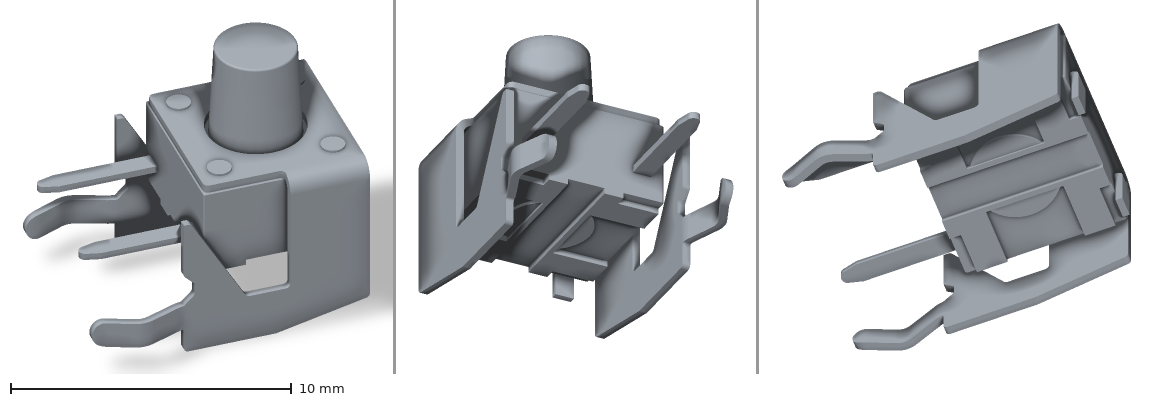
import cadquery as cq
import math


sheet = 0.3
cover_half = 6.03 / 2
cover_top = 3.72
cover_bottom = cover_top - sheet
cover_corner_radius = 0.22
relief_radius = 0.21
button_hole_radius = 1.85
bend_outer_radius = 0.64
bend_inner_radius = bend_outer_radius - sheet
bend_z = cover_top - bend_outer_radius
wall_outer_x = cover_half + bend_outer_radius
wall_mid_x = wall_outer_x - sheet / 2

wall_bottom = -2.83
slope_start_z = -2.06
slope_end_y = -0.53
wall_front_y = -4.03
window_rear_y = 0.0
window_floor_z = -0.97
window_front_y = -1.65
ear_top_z = 2.68
ear_rear_y = -3.76
notch_y = -3.61
notch_top_z = 0.47
notch_upper_z = 0.05
notch_lower_z = -0.41
wall_corner_radius = 0.17

finger_width = 1.02
finger_z = -1.33
finger_top = finger_z + finger_width / 2
finger_bottom = finger_z - finger_width / 2
finger_start_y = -3.94
finger_end_y = -7.5
finger_out_angle = math.radians(20.4)
finger_back_angle = math.radians(22.5)
finger_bend_radius = 1.07
finger_peak_radius = 0.84
finger_root_radius = 0.09
finger_reach = 8.37 / 2

housing_half = 6.17 / 2
housing_half_depth = 6.15 / 2
housing_height = cover_bottom
housing_edge_chamfer = 0.05
housing_rim_chamfer = 0.03
rivet_spacing = 4.3
rivet_radius = 0.45
rivet_height = 0.08
base_relief = 0.22
base_tongue_half = 1.48
base_groove_width = 1.46
corner_recess_depth = 0.44
side_pocket_depth = 2.15
boss_radius = 1.65
boss_height = 0.12

button_top = 7.14
button_base_radius = 1.7
button_top_radius = 1.5
button_edge_fillet = 0.09

pin_spacing = 4.4
pin_width = 0.73
pin_thickness = 0.26
pin_top = 1.41
pin_rear_y = 3.38
pin_bend_radius = pin_thickness
tab_bottom = -0.59
tip_taper_y = -6.76
tip_round_y = -7.26
tip_round_half_width = 0.24
tip_end_y = -7.47


def box(x_range, y_range, z_range):
    """Axis-aligned box between the given limits."""
    size = [high - low for low, high in (x_range, y_range, z_range)]
    corner = cq.Vector(x_range[0], y_range[0], z_range[0])
    return cq.Workplane(cq.Solid.makeBox(*size, corner))


def rivet_posts(top):
    """Four posts that rise from the housing through the cover."""
    return (
        cq.Workplane("XY").workplane(offset=cover_bottom)
        .rect(rivet_spacing, rivet_spacing, forConstruction=True).vertices()
        .circle(rivet_radius).extrude(top - cover_bottom)
    )


def top_plate():
    plate = box((-cover_half, cover_half), (-cover_half, cover_half), (cover_bottom, cover_top))
    plate = plate.edges("|Z and <Y").fillet(cover_corner_radius)
    hole = cq.Workplane("XY").workplane(offset=cover_bottom).circle(button_hole_radius).extrude(sheet)
    return plate.cut(hole)


def bend(front_y):
    """Quarter-round bend at +X, from front_y to the rear edge of the cover."""
    ring = (
        cq.Workplane("XZ", origin=(cover_half, cover_half, bend_z))
        .circle(bend_outer_radius).circle(bend_inner_radius).extrude(cover_half - front_y)
    )
    quarter = box((cover_half, wall_outer_x), (front_y, cover_half), (bend_z, cover_top))
    return ring.intersect(quarter)


def relief_fillet():
    """Concave corner web between the top plate's side edge and the front edge of the bend."""
    web = box((cover_half, cover_half + relief_radius), (-relief_radius, 0), (bend_z, cover_top))
    round_cut = (
        cq.Workplane("XY", origin=(cover_half + relief_radius, -relief_radius, bend_z))
        .circle(relief_radius).extrude(bend_outer_radius)
    )
    return web.cut(round_cut).intersect(bend(-relief_radius))


def wall_sheet():
    """Vertical sheet at +X: flat above the notch, bowed outward towards the finger below it."""
    inner_x = wall_outer_x - sheet
    flat = box((inner_x, wall_outer_x), (wall_front_y, cover_half), (notch_upper_z, bend_z))
    out, back = finger_out_angle, finger_back_angle
    first_bend_x = finger_bend_radius * (1 - math.cos(out))
    first_bend_y = -finger_bend_radius * math.sin(out)
    peak_rise = finger_peak_radius * (1 - math.cos(out))
    out_run_x = finger_reach - wall_outer_x - first_bend_x - peak_rise
    peak_x = finger_peak_radius * (math.cos(back) - math.cos(out))
    peak_y = -finger_peak_radius * (math.sin(out) + math.sin(back))
    last_bend_x = -finger_bend_radius * (1 - math.cos(back))
    last_bend_y = -finger_bend_radius * math.sin(back)
    back_run_x = -(first_bend_x + out_run_x + peak_x + last_bend_x)
    path = (
        cq.Workplane("XY").moveTo(wall_mid_x, cover_half)
        .lineTo(wall_mid_x, finger_start_y)
        .tangentArcPoint((first_bend_x, first_bend_y))
        .line(out_run_x, -out_run_x / math.tan(out))
        .tangentArcPoint((peak_x, peak_y))
        .line(back_run_x, back_run_x / math.tan(back))
        .tangentArcPoint((last_bend_x, last_bend_y))
        .lineTo(wall_mid_x, finger_end_y)
    )
    height = notch_upper_z - wall_bottom
    middle_z = (notch_upper_z + wall_bottom) / 2
    section = cq.Workplane("XZ", origin=(wall_mid_x, cover_half, middle_z)).rect(sheet, height)
    return section.sweep(path).union(flat)


def wall_outline():
    """Side profile of wall, ear and finger, as a prism along X."""
    finger_tip_y = finger_end_y + finger_width / 2
    prism_depth = finger_reach + sheet
    outline = (
        cq.Workplane("YZ")
        .moveTo(cover_half, bend_z)
        .lineTo(cover_half, slope_start_z)
        .lineTo(slope_end_y, wall_bottom)
        .lineTo(wall_front_y, wall_bottom)
        .lineTo(wall_front_y, finger_bottom)
        .lineTo(finger_tip_y, finger_bottom)
        .threePointArc((finger_end_y, finger_z), (finger_tip_y, finger_top))
        .lineTo(wall_front_y, finger_top)
        .lineTo(notch_y, notch_lower_z)
        .lineTo(notch_y, notch_upper_z)
        .lineTo(wall_front_y, notch_top_z)
        .lineTo(wall_front_y, ear_top_z)
        .lineTo(ear_rear_y, ear_top_z)
        .lineTo(window_front_y, window_floor_z)
        .lineTo(window_rear_y, window_floor_z)
        .lineTo(window_rear_y, bend_z)
        .close().extrude(prism_depth)
    )
    rounded_corners = {
        (cover_half, slope_start_z): wall_corner_radius,
        (wall_front_y, wall_bottom): wall_corner_radius,
        (wall_front_y, finger_bottom): finger_root_radius,
        (notch_y, notch_lower_z): wall_corner_radius,
        (notch_y, notch_upper_z): wall_corner_radius,
        (wall_front_y, notch_top_z): wall_corner_radius,
        (ear_rear_y, ear_top_z): wall_corner_radius,
        (window_front_y, window_floor_z): wall_corner_radius,
        (window_rear_y, window_floor_z): wall_corner_radius,
    }
    for (y, z), radius in rounded_corners.items():
        corner = cq.selectors.NearestToPointSelector((prism_depth / 2, y, z))
        outline = outline.edges("|X").edges(corner).fillet(radius)
    return outline


def make_cover():
    side = wall_sheet().intersect(wall_outline()).union(bend(window_rear_y)).union(relief_fillet())
    cover = top_plate().union(side).union(side.mirror("YZ"))
    return cover.cut(rivet_posts(cover_top))


def make_pin(center_x):
    """Flat pin that runs through the housing and bends down behind it."""
    pin_bottom = pin_top - pin_thickness
    half_width = pin_width / 2
    profile = (
        cq.Workplane("YZ", origin=(center_x - half_width, 0, 0))
        .moveTo(tip_end_y, pin_top)
        .lineTo(pin_rear_y - pin_bend_radius, pin_top)
        .radiusArc((pin_rear_y, pin_top - pin_bend_radius), pin_bend_radius)
        .lineTo(pin_rear_y, tab_bottom)
        .lineTo(pin_rear_y - pin_thickness, tab_bottom)
        .lineTo(pin_rear_y - pin_thickness, pin_bottom)
        .lineTo(tip_end_y, pin_bottom)
        .close().extrude(pin_width)
    )
    plan = (
        cq.Workplane("XY", origin=(center_x, 0, tab_bottom))
        .moveTo(half_width, pin_rear_y)
        .lineTo(half_width, tip_taper_y)
        .lineTo(tip_round_half_width, tip_round_y)
        .threePointArc((0, tip_end_y), (-tip_round_half_width, tip_round_y))
        .lineTo(-half_width, tip_taper_y)
        .lineTo(-half_width, pin_rear_y)
        .close().extrude(pin_top - tab_bottom)
    )
    return profile.intersect(plan)


def button():
    cone = (
        cq.Workplane("XZ")
        .moveTo(0, cover_bottom)
        .lineTo(button_base_radius, cover_bottom)
        .lineTo(button_top_radius, button_top)
        .lineTo(0, button_top)
        .close().revolve(360, (0, 0, 0), (0, 1, 0))
    )
    return cone.faces(">Z").edges().fillet(button_edge_fillet)


def base_recesses():
    """Recesses in the underside: a groove along Y, four corner steps and two side pockets."""
    depth = (0, base_relief)
    groove_half = base_groove_width / 2
    groove = box((-groove_half, groove_half), (-housing_half_depth, housing_half_depth), depth)
    corner_y = (housing_half_depth - corner_recess_depth, housing_half_depth)
    corner = box((base_tongue_half, housing_half), corner_y, depth)
    pocket = box(
        (housing_half - side_pocket_depth, housing_half), (-base_tongue_half, base_tongue_half), depth
    )
    boss = (
        cq.Workplane("XY").workplane(offset=base_relief - boss_height)
        .circle(boss_radius).extrude(boss_height)
    )
    side = corner.union(corner.mirror("XZ")).union(pocket.cut(boss))
    return groove.union(side).union(side.mirror("YZ"))


def make_housing(cover, pins):
    """Moulded block with rivet posts and button, slotted where the pins pass through."""
    block = box(
        (-housing_half, housing_half), (-housing_half_depth, housing_half_depth), (0, housing_height)
    )
    block = block.edges("|Z").chamfer(housing_edge_chamfer)
    block = block.faces(">Z").chamfer(housing_rim_chamfer)
    housing = block.cut(base_recesses()).union(rivet_posts(cover_top + rivet_height)).union(button())
    for pin in pins:
        housing = housing.cut(pin)
    return housing.cut(cover)


cover = make_cover()
pins = [make_pin(side * pin_spacing / 2) for side in (-1, 1)]
housing = make_housing(cover, pins)

result = cq.Compound.makeCompound(
    [cover.solids().val(), housing.solids().val(), *[pin.solids().val() for pin in pins]]
)